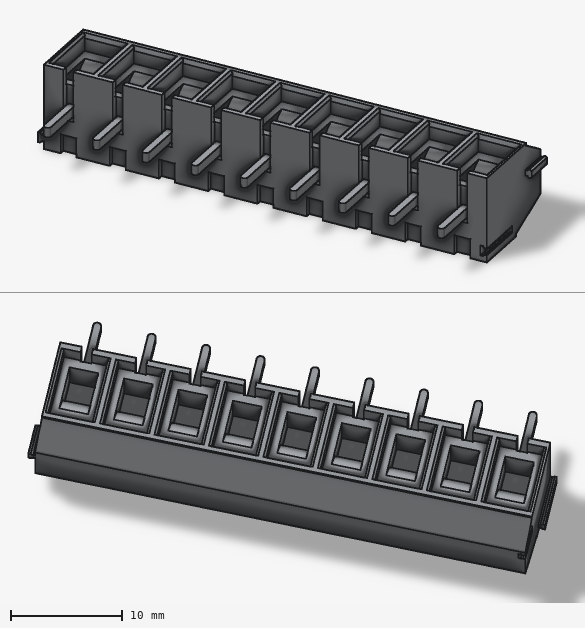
import cadquery as cq
import math

LENGTH = 46.2
HEIGHT = 8.6
BODY_DEPTH = 10.2
PIN_REACH = 4.3
TAB_REACH_LEFT = 0.6
TAB_REACH_RIGHT = 0.65

CELL_COUNT = 9
BODY_LENGTH = LENGTH - TAB_REACH_LEFT - TAB_REACH_RIGHT
PITCH = BODY_LENGTH / CELL_COUNT

TOP_DEPTH = 7.5
BOTTOM_DEPTH = 5.55
LIP = 0.3
BACK_TOP = 6.6
BACK_BOTTOM = 2.2
BACK_CHAMFER = 0.15

POCKET_FLOOR = 6.85
POCKET_WIDTH = 4.05
POCKET_FRONT = 0.55
POCKET_BACK = 6.85
SIDE_FLARE = 0.25
SIDE_FLARE_HEIGHT = 0.25
BACK_FLARE = 0.2
BACK_FLARE_HEIGHT = 0.45

OPENING_WIDTH = 2.65
OPENING_FRONT = 1.45
OPENING_BACK = 5.6
RAMP_RADIUS = 2.9
RAMP_AXIS_DROP = 2.7
OPENING_DEPTH = 3.25

SLOT_WIDTH = 1.0
SLOT_BOTTOM = 3.5
SLOT_DEPTH = 0.65
PIN_WIDTH = 0.75
PIN_BOTTOM = 3.95
PIN_TOP = 4.9
PIN_TIP = 0.4

NOTCH_WIDTH = 1.6
NOTCH_HEIGHT = 1.95
NOTCH_DEPTH = 0.5

NECK_REACH = 0.2
NECK_INSET = 0.2
SHOULDER_REACH = 0.4
GROOVE_DEPTH = 0.65
FRONT_TAB_LENGTH = 4.85
FRONT_TAB_Z = 1.05
FRONT_TAB_HEIGHT = 1.0
REAR_TAB_LENGTH = 2.9
REAR_TAB_Z = 5.65
REAR_TAB_HEIGHT = 0.92
REAR_TIP_INSET = 0.15


def box(x0, x1, y0, y1, z0, z1):
    return cq.Workplane("XY").box(x1 - x0, y1 - y0, z1 - z0, centered=False).translate((x0, y0, z0))


def body():
    outline = [
        (0, 0),
        (BOTTOM_DEPTH, 0),
        (BOTTOM_DEPTH, LIP),
        (BODY_DEPTH - BACK_CHAMFER, BACK_BOTTOM - BACK_CHAMFER),
        (BODY_DEPTH, BACK_BOTTOM),
        (BODY_DEPTH, BACK_TOP),
        (BODY_DEPTH - BACK_CHAMFER, BACK_TOP + BACK_CHAMFER),
        (TOP_DEPTH, HEIGHT - LIP),
        (TOP_DEPTH, HEIGHT),
        (0, HEIGHT),
    ]
    return cq.Workplane("YZ").polyline(outline).close().extrude(BODY_LENGTH)


def pocket(center):
    """Hollow bounded by an X-Z outline flared at both sides and a Y-Z outline flared at the back."""
    half = POCKET_WIDTH / 2
    side_bend = HEIGHT - SIDE_FLARE_HEIGHT
    across = [
        (center - half, POCKET_FLOOR),
        (center + half, POCKET_FLOOR),
        (center + half, side_bend),
        (center + half + SIDE_FLARE, HEIGHT),
        (center - half - SIDE_FLARE, HEIGHT),
        (center - half, side_bend),
    ]
    along = [
        (POCKET_FRONT, POCKET_FLOOR),
        (POCKET_BACK, POCKET_FLOOR),
        (POCKET_BACK, HEIGHT - BACK_FLARE_HEIGHT),
        (POCKET_BACK + BACK_FLARE, HEIGHT),
        (POCKET_FRONT, HEIGHT),
    ]
    cross_prism = cq.Workplane("XZ").polyline(across).close().extrude(-BODY_DEPTH)
    long_prism = cq.Workplane("YZ").polyline(along).close().extrude(BODY_LENGTH)
    return cross_prism.intersect(long_prism)


def opening(center):
    """Rectangular well whose back wall is a cylinder along X that bulges toward the front."""
    bottom = POCKET_FLOOR - OPENING_DEPTH
    axis_z = POCKET_FLOOR - RAMP_AXIS_DROP
    axis_y = OPENING_BACK + math.sqrt(RAMP_RADIUS**2 - RAMP_AXIS_DROP**2)
    ramp_foot = axis_y - math.sqrt(RAMP_RADIUS**2 - (axis_z - bottom) ** 2)
    profile = (
        cq.Workplane("YZ", origin=(center - OPENING_WIDTH / 2, 0, 0))
        .moveTo(OPENING_FRONT, POCKET_FLOOR)
        .lineTo(OPENING_FRONT, bottom)
        .lineTo(ramp_foot, bottom)
        .threePointArc((axis_y - RAMP_RADIUS, axis_z), (OPENING_BACK, POCKET_FLOOR))
        .close()
    )
    return profile.extrude(OPENING_WIDTH)


def slot(center):
    half = SLOT_WIDTH / 2
    return box(center - half, center + half, 0, SLOT_DEPTH, SLOT_BOTTOM, HEIGHT)


def pin(center):
    half = PIN_WIDTH / 2
    shoulder = PIN_TIP - PIN_REACH
    return (
        cq.Workplane("XY", origin=(center, 0, PIN_BOTTOM))
        .moveTo(-half, SLOT_DEPTH)
        .lineTo(-half, shoulder)
        .threePointArc((0, -PIN_REACH), (half, shoulder))
        .lineTo(half, SLOT_DEPTH)
        .close()
        .extrude(PIN_TOP - PIN_BOTTOM)
    )


def notch(center):
    half = NOTCH_WIDTH / 2
    return box(center - half, center + half, 0, NOTCH_DEPTH, 0, NOTCH_HEIGHT)


def prism_along_y(lower_half, y0, length, mid_z):
    """Prism along Y, mirrored about mid_z, from (x, half height) pairs."""
    lower = [(x, mid_z - half) for x, half in lower_half]
    upper = [(x, mid_z + half) for x, half in reversed(lower_half)]
    return cq.Workplane("XZ", origin=(0, y0, 0)).polyline(lower + upper).close().extrude(-length)


def dovetail(root_x, reach, height, tip_inset=0):
    """Half section that widens from a neck at root_x, then runs to its tip."""
    neck = height / 2 - NECK_INSET
    outward = math.copysign(1, reach)
    return [
        (root_x, neck),
        (root_x + outward * NECK_REACH, neck),
        (root_x + outward * SHOULDER_REACH, height / 2),
        (root_x + reach, height / 2 - tip_inset),
    ]


def front_bar(root_x, reach):
    section = dovetail(root_x, reach, FRONT_TAB_HEIGHT)
    return prism_along_y(section, 0, FRONT_TAB_LENGTH, FRONT_TAB_Z)


def rear_bar(root_x, reach):
    section = dovetail(root_x, reach, REAR_TAB_HEIGHT, REAR_TIP_INSET)
    return prism_along_y(section, BODY_DEPTH - REAR_TAB_LENGTH, REAR_TAB_LENGTH, REAR_TAB_Z)


def rear_groove_mouth():
    """Chamfered entry of the rear groove in the left end."""
    wide = REAR_TAB_HEIGHT / 2
    section = [(0, wide), (NECK_REACH, wide - NECK_INSET)]
    return prism_along_y(section, BODY_DEPTH - REAR_TAB_LENGTH, REAR_TAB_LENGTH, REAR_TAB_Z)


result = body()
for index in range(CELL_COUNT):
    middle = (index + 0.5) * PITCH
    result = result.cut(pocket(middle)).cut(opening(middle)).cut(slot(middle)).cut(notch(middle))
    result = result.union(pin(middle))

result = result.cut(rear_bar(0, GROOVE_DEPTH)).cut(rear_groove_mouth())
result = result.cut(front_bar(BODY_LENGTH, -GROOVE_DEPTH))
result = result.union(front_bar(0, -TAB_REACH_LEFT)).union(rear_bar(BODY_LENGTH, TAB_REACH_RIGHT))